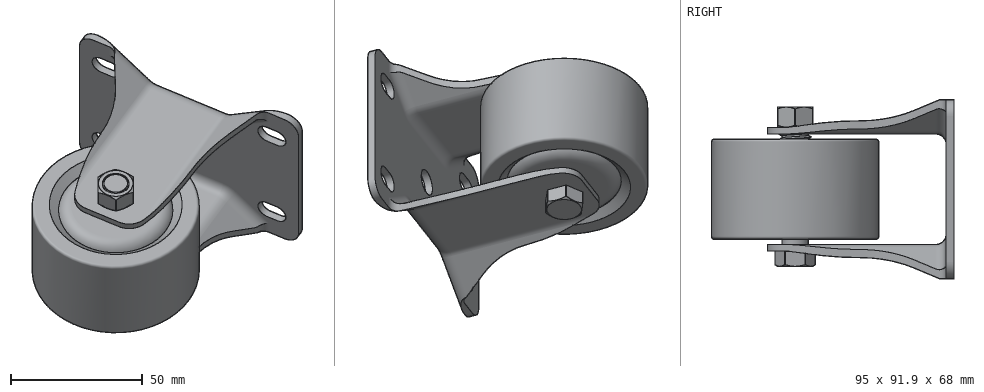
import cadquery as cq
import math


WHEEL_RADIUS = 31.7
WHEEL_WIDTH = 38
WHEEL_EDGE_FILLET = 1.0
RECESS_RADIUS = 25.2
HUB_RADIUS = 21.7
HUB_FLAT_RADIUS = 16.9
RECESS_DEPTH = 2.9

PLATE_WIDTH = 95
PLATE_HEIGHT = 68.0
PLATE_THICKNESS = 3.0
PLATE_CORNER_RADIUS = 6.3
PLATE_BACK = 60.2
PLATE_FRONT = PLATE_BACK - PLATE_THICKNESS
SLOT_LENGTH = 12.1
SLOT_WIDTH = 7.8
SLOT_SPACING_X = 71.9
SLOT_SPACING_Z = 43.0
CENTER_HOLE_RADIUS = 5.0

ARM_THICKNESS = 2.6
ARM_OUTER_Z = 23.5
ARM_INNER_Z = ARM_OUTER_Z - ARM_THICKNESS
WEB_HALF_WIDTH = 14.7
WING_ANGLE = math.radians(35)
WING_BEND_RADIUS = 4.0
PLATE_BEND_OUTER_RADIUS = 5.9
PLATE_BEND_INNER_RADIUS = 3.8

ARM_END = -10.5
WAIST_HALF_WIDTH = 19.6
WAIST_Y = 24.7
FLARE_RADIUS = 39.9
FLARE_ANGLE = math.radians(31)
FLANK_FILLET = 4.0
TAPER_RADIUS = 95.95
TAPER_ANGLE = math.radians(18)

SHANK_RADIUS = 5.0
BOLT_TIP_CHAMFER = 0.6
HEAD_HEIGHT = 5.9
NUT_HEIGHT = 7.8
NUT_TOP = ARM_OUTER_Z + NUT_HEIGHT
HEAD_ROTATION = 0
NUT_ROTATION = 30
HEX_FLATS = 13.5
HEX_CORNER_RADIUS = 7.7
HEX_FACE_RADIUS = 6.6
HEX_CHAMFER_HEIGHT = 0.8
THREAD_PITCH = 2.0
THREAD_CREST_RADIUS = 6.2
THREAD_ROOT_WIDTH = 1.6
THREAD_ROOT_OVERLAP = 0.3
THREAD_START_ANGLE = 300

MARGIN = 9.5


def polar(radius, angle):
    """Offsets of a point at an angle from the first axis of its plane."""
    return radius * math.cos(angle), radius * math.sin(angle)


def shifted(center, offset):
    """A point moved by an offset."""
    return center[0] + offset[0], center[1] + offset[1]


def front_facing_block(outline, y_front, y_back):
    """Extrude an XZ outline, given as a function of a workplane, from y_back to y_front."""
    plane = cq.Workplane("XZ", origin=(0, y_back, 0))
    return outline(plane).extrude(y_back - y_front)


def arm_space(bend_radius, web_z, y_front, y_back, back_radius):
    """Block between the two arms' web and wing surfaces, with its back edges rounded."""
    bend_center_z = web_z + bend_radius
    bend_end = (
        WEB_HALF_WIDTH + bend_radius * math.sin(WING_ANGLE),
        bend_center_z - bend_radius * math.cos(WING_ANGLE),
    )
    bend_middle = (
        WEB_HALF_WIDTH + bend_radius * math.sin(WING_ANGLE / 2),
        bend_center_z - bend_radius * math.cos(WING_ANGLE / 2),
    )
    wing_end_x = PLATE_WIDTH / 2 + MARGIN
    wing_end = (wing_end_x, bend_end[1] + (wing_end_x - bend_end[0]) * math.tan(WING_ANGLE))

    def outline(plane):
        return (
            plane.moveTo(-WEB_HALF_WIDTH, web_z)
            .lineTo(WEB_HALF_WIDTH, web_z)
            .threePointArc(bend_middle, bend_end)
            .lineTo(*wing_end)
            .lineTo(wing_end[0], -wing_end[1])
            .lineTo(bend_end[0], -bend_end[1])
            .threePointArc((bend_middle[0], -bend_middle[1]), (WEB_HALF_WIDTH, -web_z))
            .lineTo(-WEB_HALF_WIDTH, -web_z)
            .threePointArc((-bend_middle[0], -bend_middle[1]), (-bend_end[0], -bend_end[1]))
            .lineTo(-wing_end[0], -wing_end[1])
            .lineTo(-wing_end[0], wing_end[1])
            .lineTo(-bend_end[0], bend_end[1])
            .threePointArc((-bend_middle[0], bend_middle[1]), (-WEB_HALF_WIDTH, web_z))
            .close()
        )

    block = front_facing_block(outline, y_front, y_back)
    rounded_edges = block.faces(">Y").edges("not(<X or >X)")
    return rounded_edges.fillet(back_radius)


def bracket_silhouette():
    """Outline of plate and arms in XY, extruded over the plate height."""
    flare_center = (WAIST_HALF_WIDTH + FLARE_RADIUS, WAIST_Y)
    flare_middle = shifted(flare_center, polar(FLARE_RADIUS, math.pi - FLARE_ANGLE / 2))
    flare_end = shifted(flare_center, polar(FLARE_RADIUS, math.pi - FLARE_ANGLE))

    flank_x_at_plate = flare_end[0] + (PLATE_FRONT - flare_end[1]) * math.tan(FLARE_ANGLE)
    fillet_reach = FLANK_FILLET * math.tan(math.pi / 4 - FLARE_ANGLE / 2)
    fillet_center = (flank_x_at_plate + fillet_reach, PLATE_FRONT - FLANK_FILLET)
    fillet_start = shifted(fillet_center, polar(FLANK_FILLET, math.pi - FLARE_ANGLE))
    fillet_middle = shifted(fillet_center, polar(FLANK_FILLET, 3 * math.pi / 4 - FLARE_ANGLE / 2))
    fillet_end = (fillet_center[0], PLATE_FRONT)

    taper_center = (WAIST_HALF_WIDTH - TAPER_RADIUS, WAIST_Y)
    taper_middle = shifted(taper_center, polar(TAPER_RADIUS, -TAPER_ANGLE / 2))
    taper_end = shifted(taper_center, polar(TAPER_RADIUS, -TAPER_ANGLE))

    corner_radius = (taper_end[1] - ARM_END) / (1 - math.sin(TAPER_ANGLE))
    corner_center = (taper_end[0] - corner_radius * math.cos(TAPER_ANGLE), ARM_END + corner_radius)
    corner_middle = shifted(corner_center, polar(corner_radius, -math.pi / 4 - TAPER_ANGLE / 2))
    corner_end = (corner_center[0], ARM_END)

    half = (
        cq.Workplane("XY", origin=(0, 0, -PLATE_HEIGHT / 2))
        .moveTo(0, PLATE_BACK)
        .lineTo(PLATE_WIDTH / 2, PLATE_BACK)
        .lineTo(PLATE_WIDTH / 2, PLATE_FRONT)
        .lineTo(*fillet_end)
        .threePointArc(fillet_middle, fillet_start)
        .lineTo(*flare_end)
        .threePointArc(flare_middle, (WAIST_HALF_WIDTH, WAIST_Y))
        .threePointArc(taper_middle, taper_end)
        .threePointArc(corner_middle, corner_end)
        .lineTo(0, ARM_END)
        .close()
        .extrude(PLATE_HEIGHT)
    )
    return half.union(half.mirror("YZ"))


def make_bracket():
    """Bent sheet: plate with four slots and a center hole, and two winged arms with axle holes."""
    outer = arm_space(WING_BEND_RADIUS, ARM_OUTER_Z, ARM_END, PLATE_BACK, PLATE_BEND_OUTER_RADIUS)
    inner = arm_space(
        WING_BEND_RADIUS + ARM_THICKNESS,
        ARM_INNER_Z,
        ARM_END - MARGIN,
        PLATE_FRONT,
        PLATE_BEND_INNER_RADIUS,
    )
    plate_block = front_facing_block(
        lambda plane: plane.rect(PLATE_WIDTH, PLATE_HEIGHT), ARM_END, PLATE_BACK
    )
    plate_block = plate_block.edges("|Y").fillet(PLATE_CORNER_RADIUS)
    sheet = bracket_silhouette().intersect(plate_block).intersect(outer).cut(inner)

    slots = front_facing_block(
        lambda plane: plane.rarray(SLOT_SPACING_X, SLOT_SPACING_Z, 2, 2).slot2D(SLOT_LENGTH, SLOT_WIDTH),
        PLATE_FRONT - MARGIN,
        PLATE_BACK,
    )
    center_hole = front_facing_block(
        lambda plane: plane.circle(CENTER_HOLE_RADIUS), PLATE_FRONT - MARGIN, PLATE_BACK
    )
    axle_holes = cq.Workplane("XY").circle(SHANK_RADIUS).extrude(PLATE_HEIGHT / 2, both=True)
    return sheet.cut(slots).cut(center_hole).cut(axle_holes)


def make_wheel():
    """Wheel with a tapered recess around a rounded hub on both sides, bored for the bolt."""
    half_width = WHEEL_WIDTH / 2
    tread = cq.Workplane("XY", origin=(0, 0, -half_width)).circle(WHEEL_RADIUS).extrude(WHEEL_WIDTH)
    tread = tread.faces("<Z or >Z").edges().fillet(WHEEL_EDGE_FILLET)

    shoulder_width = HUB_RADIUS - HUB_FLAT_RADIUS
    shoulder_radius = (shoulder_width**2 + RECESS_DEPTH**2) / (2 * RECESS_DEPTH)
    shoulder_angle = math.asin(shoulder_width / shoulder_radius)
    shoulder_center = (HUB_FLAT_RADIUS, half_width - shoulder_radius)
    shoulder_middle = shifted(shoulder_center, polar(shoulder_radius, math.pi / 2 - shoulder_angle / 2))
    recess = (
        cq.Workplane("XZ")
        .moveTo(RECESS_RADIUS, half_width)
        .lineTo(HUB_RADIUS, half_width - RECESS_DEPTH)
        .threePointArc(shoulder_middle, (HUB_FLAT_RADIUS, half_width))
        .close()
        .revolve(360, (0, 0, 0), (0, 1, 0))
    )
    bore = cq.Workplane("XY").circle(SHANK_RADIUS).extrude(half_width, both=True)
    return tread.cut(recess).cut(recess.mirror("XY")).cut(bore)


def hex_block(bottom, height, rotation, chamfer_bottom, chamfer_top):
    """Hexagonal prism whose corners are trimmed by a coaxial turned shape."""
    top = bottom + height
    hexagon = (
        cq.Workplane("XY", origin=(0, 0, bottom))
        .polygon(6, HEX_FLATS, circumscribed=True)
        .extrude(height)
        .rotate((0, 0, 0), (0, 0, 1), rotation)
    )
    turned_profile = cq.Workplane("XZ").moveTo(0, bottom)
    if chamfer_bottom:
        turned_profile = turned_profile.lineTo(HEX_FACE_RADIUS, bottom)
        turned_profile = turned_profile.lineTo(HEX_CORNER_RADIUS, bottom + HEX_CHAMFER_HEIGHT)
    else:
        turned_profile = turned_profile.lineTo(HEX_CORNER_RADIUS, bottom)
    if chamfer_top:
        turned_profile = turned_profile.lineTo(HEX_CORNER_RADIUS, top - HEX_CHAMFER_HEIGHT)
        turned_profile = turned_profile.lineTo(HEX_FACE_RADIUS, top)
    else:
        turned_profile = turned_profile.lineTo(HEX_CORNER_RADIUS, top)
    turned = turned_profile.lineTo(0, top).close().revolve(360, (0, 0, 0), (0, 1, 0))
    return hexagon.intersect(turned)


def thread_ridge():
    """Helical ridge showing in the gap between the wheel and the upper arm."""
    gap_bottom = WHEEL_WIDTH / 2
    gap_height = ARM_INNER_Z - gap_bottom
    helix_bottom = gap_bottom - THREAD_PITCH
    helix_height = gap_height + 2 * THREAD_PITCH
    root_radius = SHANK_RADIUS - THREAD_ROOT_OVERLAP
    root_half_width = THREAD_ROOT_WIDTH / 2
    helix = cq.Wire.makeHelix(THREAD_PITCH, helix_height, root_radius, center=cq.Vector(0, 0, helix_bottom))
    ridge = (
        cq.Workplane("XZ")
        .moveTo(root_radius, helix_bottom - root_half_width)
        .lineTo(THREAD_CREST_RADIUS, helix_bottom)
        .lineTo(root_radius, helix_bottom + root_half_width)
        .close()
        .sweep(cq.Workplane(helix), isFrenet=True)
        .rotate((0, 0, 0), (0, 0, 1), THREAD_START_ANGLE)
    )
    gap = (
        cq.Workplane("XY", origin=(0, 0, gap_bottom))
        .circle(THREAD_CREST_RADIUS + MARGIN)
        .extrude(gap_height)
    )
    return ridge.intersect(gap)


def make_bolt():
    """Hex-head bolt used as the axle, head below the lower arm."""
    head = hex_block(-ARM_OUTER_Z - HEAD_HEIGHT, HEAD_HEIGHT, HEAD_ROTATION, True, False)
    shank = (
        cq.Workplane("XY", origin=(0, 0, -ARM_OUTER_Z))
        .circle(SHANK_RADIUS)
        .extrude(NUT_TOP + ARM_OUTER_Z)
        .faces(">Z")
        .chamfer(BOLT_TIP_CHAMFER)
    )
    return head.union(shank).union(thread_ridge())


def make_nut():
    """Hex nut on top of the upper arm, flush with the bolt tip."""
    bore = cq.Workplane("XY", origin=(0, 0, ARM_OUTER_Z)).circle(SHANK_RADIUS).extrude(NUT_HEIGHT)
    return hex_block(ARM_OUTER_Z, NUT_HEIGHT, NUT_ROTATION, True, True).cut(bore)


bracket = make_bracket()
wheel = make_wheel()
bolt = make_bolt()
nut = make_nut()

result = cq.Compound.makeCompound([bracket.val(), wheel.val(), bolt.val(), nut.val()])